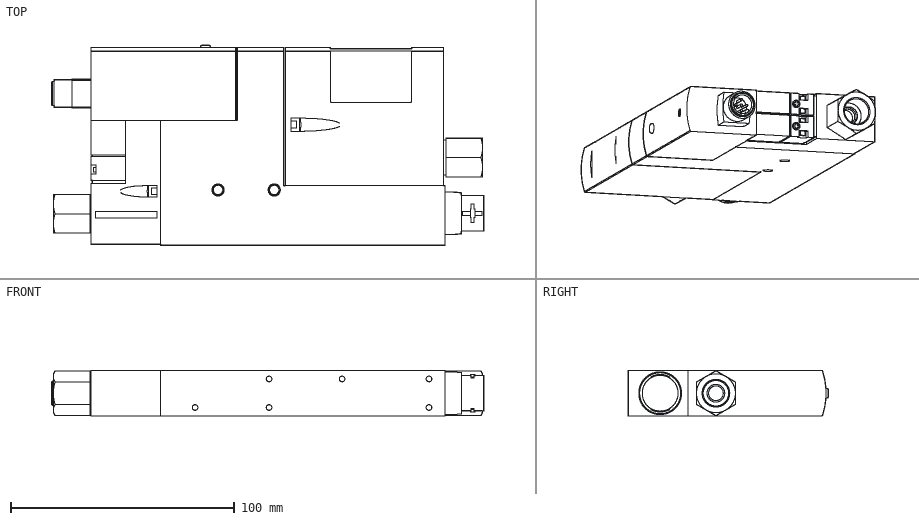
import cadquery as cq
import math


height = 20.5
top = height / 2
base_length = 158.5
crown_y = 88.7
shoulder_y = 87.1
edge_chamfer = 0.4
joint_gap = 0.5

port_length = 31.2
port_inset = 0.4
control_y = 56.0
valve_length = 15.5
valve_y_min = 29.0
valve_step_y = 40.0
valve_groove = 0.5
valve_setback = 0.4
valve_trench = 1.4
lever_y = 33.9
lever_notch = (2.3, 4.0, 3.0)
lever_size = (1.2, 2.1, 2.0)
valve_screw_y = 37.2
valve_screw_d = 3.3
valve_screw_depth = 0.5
valve_cross = (1.0, 2.5)
label_groove_d = 3.0
label_groove_y = 13.7
label_groove_x = (2.0, 29.6)

control_length = 64.9
led_x = 10.8
led_d = 3.3
led_depth = 0.5
button_x = 51.3
button_d = 4.5
button_round = 0.8
button_tip_y = 89.6

filter_x = (87.0, 158.0)
filter_y = 26.7
window_x = (107.3, 143.7)
window_y = 63.9
window_top_depth = 0.2
window_side_depth = 0.5
window_corner = 0.8

mount_holes_x = (57.0, 82.0)
mount_hole_y = 24.8
mount_hole_d = 4.3
mount_hole_chamfer = 0.5
side_hole_z = 6.4
side_hole_d = 2.5
side_hole_depth = 3.0
upper_side_holes = (79.8, 112.5, 151.4)
lower_side_holes = (46.7, 79.8, 151.4)

hex_flats = 17.5
hex_face_d = 17.5
hex_chamfer = 30
nut_length = 16.5
port_neck_length = 0.4
filter_neck_length = 1.0
neck_d = 15.9
bore_mouth_d = 12.4
bore_d = 11.5
bore_depth = 11.6
bore_chamfer = (bore_mouth_d - bore_d) / 2
seat_d = 8.0
seat_depth = 2.0
duct_d = 6.5
duct_depth = 3.9
port_fitting_y = 14.1
filter_fitting_y = 39.3

plug_y = 68.0
plug_root = (8.5, 11.8, 13.5)
plug_root_bulge = 0.5
plug_barrel_d = 12.4
plug_barrel_end = 16.5
plug_tip_end = 17.6
plug_tip_d = 10.8
plug_tip_chamfer = 0.4
plug_socket_d = 8.5
plug_socket_depth = 7.7
plug_pin_d = 1.0
plug_pin_pitch = 2.5
plug_pin_length = 5.8
plug_key_d = 2.0
plug_key_offset = 2.7

silencer_y = 14.3
collar_end = 166.0
collar_base_d = 19.2
collar_end_d = 18.4
collar_bulge = 0.2
barrel_end = 176.0
barrel_d = 16.0
lug_height = 0.4
lug_x = 171.0
lug_size = (1.4, 8.3)
lug_centre = (2.1, 3.9)
flute_width = 1.7
flute_depth = 0.2
flute_x = (166.5, 175.2)

filter_pocket = (111.9, 89.6, 54.0, 6.0)
port_pocket = (13.0, 29.6, 24.2, 5.2)
screw_well_length = 3.9
screw_well_depth = 4.6
pocket_screw_d = 3.1
pocket_screw_length = 2.5
pocket_screw_drop = 2.3


def block(x, y, z=(-top, top)):
    """Box between the given limits."""
    size = (x[1] - x[0], y[1] - y[0], z[1] - z[0])
    return cq.Workplane("XY").box(*size, centered=False).translate((x[0], y[0], z[0]))


def rod(diameter, x, y, z=0.0):
    """Cylinder along X between two x positions."""
    wire = cq.Workplane("YZ", origin=(x[0], y, z)).circle(diameter / 2)
    return wire.extrude(x[1] - x[0])


def rounded_envelope():
    """Cross-section with a rounded +Y side, along the whole length."""
    profile = (
        cq.Workplane("YZ")
        .moveTo(0, -top)
        .lineTo(shoulder_y - edge_chamfer, -top)
        .lineTo(shoulder_y, edge_chamfer - top)
        .threePointArc((crown_y, 0), (shoulder_y, top - edge_chamfer))
        .lineTo(shoulder_y - edge_chamfer, top)
        .lineTo(0, top)
        .close()
    )
    return profile.extrude(base_length)


def turned_blank(diameter, length):
    """Cylinder along X whose far end is chamfered down to the hexagon face diameter."""
    chamfer_width = (diameter - hex_face_d) / 2
    chamfer_length = chamfer_width * math.tan(math.radians(hex_chamfer))
    profile = (
        cq.Workplane("XY")
        .lineTo(0, diameter / 2)
        .lineTo(length - chamfer_length, diameter / 2)
        .lineTo(length, hex_face_d / 2)
        .lineTo(length, 0)
        .close()
    )
    return profile.revolve(360, (0, 0, 0), (1, 0, 0))


def fitting(face_x, y, direction, neck_length):
    """Hexagonal fitting that stands out from face_x in the +X or -X direction."""
    across_corners = hex_flats / math.cos(math.pi / 6)
    fitting_length = neck_length + nut_length
    nut = (
        cq.Workplane("YZ")
        .polygon(6, across_corners)
        .extrude(nut_length)
        .rotate((0, 0, 0), (1, 0, 0), 90)
        .intersect(turned_blank(across_corners, nut_length))
        .translate((neck_length, 0, 0))
    )
    body = nut.union(rod(neck_d, (0, neck_length), 0))
    mouth = (
        cq.Workplane("YZ", origin=(fitting_length, 0, 0))
        .circle(bore_mouth_d / 2)
        .workplane(offset=-bore_chamfer)
        .circle(bore_d / 2)
        .loft()
    )
    bore_floor = fitting_length - bore_depth
    seat_floor = bore_floor - seat_depth
    body = (
        body.cut(mouth)
        .cut(rod(bore_d, (bore_floor, fitting_length), 0))
        .cut(rod(seat_d, (seat_floor, bore_floor), 0))
        .cut(rod(duct_d, (seat_floor - duct_depth, seat_floor), 0))
    )
    if direction < 0:
        body = body.rotate((0, 0, 0), (0, 0, 1), 180)
    return body.translate((face_x, y, 0))


def add_screw_pocket(body, pocket):
    """Cut a sloping round trough in the top face, ending in a square well with a screw."""
    tip_x, end_x, y, diameter = pocket
    radius = diameter / 2
    direction = math.copysign(1, end_x - tip_x)
    well_start = end_x - direction * screw_well_length
    slope = math.asin(radius / abs(well_start - tip_x))
    axis = cq.Vector(direction * math.cos(slope), 0, -math.sin(slope))
    length = abs(well_start - tip_x) * math.cos(slope)
    start = cq.Vector(well_start, y, top) - axis * length
    trough = cq.Solid.makeCylinder(radius, length, start, axis)

    well_x = sorted((end_x, well_start))
    screw_x = sorted((end_x, end_x - direction * pocket_screw_length))
    well = block(well_x, (y - radius, y + radius), (top - screw_well_depth, top))
    screw = rod(pocket_screw_d, screw_x, y, top - pocket_screw_drop)
    return body.cut(cq.Workplane(trough)).cut(well).union(screw)


def make_base():
    """Central block with its mounting holes, side holes and silencer."""
    body = (
        rounded_envelope()
        .cut(block((0, port_length), (0, control_y)))
        .cut(block((0, control_length + joint_gap), (control_y, crown_y)))
        .cut(block((filter_x[0] - joint_gap, base_length), (filter_y, crown_y)))
    )
    mounts = [(x, mount_hole_y) for x in mount_holes_x]
    body = body.cut(
        cq.Workplane("XY", origin=(0, 0, -top)).pushPoints(mounts).circle(mount_hole_d / 2).extrude(height)
    )
    for x, y in mounts:
        countersink = cq.Solid.makeCone(
            mount_hole_d / 2,
            mount_hole_d / 2 + mount_hole_chamfer,
            mount_hole_chamfer,
            cq.Vector(x, y, top - mount_hole_chamfer),
        )
        body = body.cut(cq.Workplane(countersink))
    side_holes = [(x, side_hole_z) for x in upper_side_holes]
    side_holes += [(x, -side_hole_z) for x in lower_side_holes]
    body = body.cut(
        cq.Workplane("XZ").pushPoints(side_holes).circle(side_hole_d / 2).extrude(-side_hole_depth)
    )
    return body.union(make_silencer())


def make_silencer():
    """Bulged collar and barrel, with a cross-shaped lug above and below."""
    middle = ((base_length + collar_end) / 2, (collar_base_d + collar_end_d) / 4 + collar_bulge)
    collar = (
        cq.Workplane("XY")
        .moveTo(base_length, 0)
        .lineTo(base_length, collar_base_d / 2)
        .threePointArc(middle, (collar_end, collar_end_d / 2))
        .lineTo(collar_end, 0)
        .close()
        .revolve(360, (0, 0, 0), (1, 0, 0))
        .translate((0, silencer_y, 0))
    )
    barrel = rod(barrel_d, (collar_end, barrel_end), silencer_y)
    reach = barrel_d / 2 + lug_height
    flute_floor = barrel_d / 2 - flute_depth
    flute_y = (silencer_y - flute_width / 2, silencer_y + flute_width / 2)
    lugs = (
        cq.Workplane("XY", origin=(lug_x, silencer_y, 0))
        .rect(*lug_size)
        .extrude(reach, both=True)
        .union(cq.Workplane("XY", origin=(lug_x, silencer_y, 0)).rect(*lug_centre).extrude(reach, both=True))
        .intersect(rod(2 * reach, (collar_end, barrel_end), silencer_y))
    )
    for z in ((flute_floor, reach), (-reach, -flute_floor)):
        barrel = barrel.cut(block(flute_x, flute_y, z))
    return collar.union(barrel).union(lugs)


def shape_valves(body):
    """Shape the two stacked pilot valves on the -X end of the port block."""
    half = valve_groove / 2
    valve_top = top - valve_setback
    trench_y = (valve_y_min - valve_trench, valve_y_min)
    step_y = (valve_step_y - half, valve_step_y + half)
    body = body.cut(block((0, valve_groove), (valve_y_min, control_y), (-half, half)))
    body = body.cut(block((0, valve_groove), step_y))
    body = body.cut(block((0, valve_groove), trench_y))
    for side in (1, -1):
        skin = sorted((side * top, side * valve_top))
        body = body.cut(block((0, valve_length), (valve_y_min, control_y), skin))
        below_skin = sorted((side * top, side * (valve_top - valve_groove)))
        body = body.cut(block((0, valve_length), trench_y, below_skin))
        body = body.cut(block((0, valve_length), step_y, below_skin))

    valve_height = valve_top - half
    for z in (half + valve_height / 2, -half - valve_height / 2):
        for end in (1, -1):
            body = cut_lever_notch(body, z + end * valve_height / 2, end)
        body = add_valve_screw(body, z)
    return body


def cut_lever_notch(body, edge_z, end):
    """Notch in a valve edge that opens towards +Z or -Z and holds a small lever."""
    length, width, depth = lever_notch
    lever_length, lever_width, lever_height = lever_size
    floor_z = edge_z - end * depth
    notch_y = (lever_y - width / 2, lever_y + width / 2)
    side_y = (lever_y - lever_width / 2, lever_y + lever_width / 2)
    notch = block((0, length), notch_y, sorted((edge_z, floor_z)))
    lever = block((length - lever_length, length), side_y, sorted((floor_z, floor_z + end * lever_height)))
    return body.cut(notch).union(lever)


def add_valve_screw(body, z):
    """Round recess with a raised cross in the -X face of a valve."""
    bar, span = valve_cross
    body = body.cut(rod(valve_screw_d, (0, valve_screw_depth), valve_screw_y, z))
    for wide, tall in ((bar, span), (span, bar)):
        cross_y = (valve_screw_y - wide / 2, valve_screw_y + wide / 2)
        body = body.union(block((0, valve_screw_depth), cross_y, (z - tall / 2, z + tall / 2)))
    return body


def make_port_block():
    """Port block with fitting, pilot valves, screw pocket and label groove."""
    body = block((0, port_length), (port_inset, control_y))
    body = shape_valves(body)
    body = add_screw_pocket(body, port_pocket)
    body = body.cut(rod(label_groove_d, label_groove_x, label_groove_y, top))
    return body.union(fitting(0, port_fitting_y, -1, port_neck_length))


def make_plug():
    """Round plug on a flat-topped root, with contact pins and a key in its socket."""
    length, width, tall = plug_root
    side_y = width / 2
    root = (
        cq.Workplane("YZ", origin=(-length, plug_y, 0))
        .moveTo(-side_y, -tall / 2)
        .lineTo(side_y, -tall / 2)
        .threePointArc((side_y + plug_root_bulge, 0), (side_y, tall / 2))
        .lineTo(-side_y, tall / 2)
        .threePointArc((-side_y - plug_root_bulge, 0), (-side_y, -tall / 2))
        .close()
        .extrude(length)
    )
    barrel = rod(plug_barrel_d, (-plug_barrel_end, -length), plug_y)
    tip = rod(plug_tip_d, (-plug_tip_end, -plug_barrel_end), plug_y).faces("<X").chamfer(plug_tip_chamfer)
    body = root.union(barrel).union(tip)
    floor_x = plug_socket_depth - plug_tip_end
    body = body.cut(rod(plug_socket_d, (-plug_tip_end, floor_x), plug_y))
    pin_x = (floor_x - plug_pin_length, floor_x)
    for row, column in ((0, 0), (1, 0), (-1, 0), (0, 1), (0, -1)):
        pin_y = plug_y + row * plug_pin_pitch
        pin_z = column * plug_pin_pitch
        body = body.union(rod(plug_pin_d, pin_x, pin_y, pin_z))
    return body.union(rod(plug_key_d, pin_x, plug_y - plug_key_offset, -plug_key_offset))


def make_control_module():
    """Control module with plug connector, indicator recess and push button."""
    body = rounded_envelope().intersect(block((0, control_length), (control_y, crown_y)))
    recess = cq.Workplane("XZ", origin=(led_x, crown_y, 0)).circle(led_d / 2).extrude(led_depth)
    button_length = button_tip_y - shoulder_y
    button = cq.Workplane("XZ", origin=(button_x, button_tip_y, 0)).circle(button_d / 2).extrude(button_length)
    button = button.faces(">Y").fillet(button_round)
    return body.cut(recess).union(button).union(make_plug())


def make_filter_module():
    """Filter module with viewing window recess, screw pocket and fitting."""
    body = rounded_envelope().intersect(block(filter_x, (filter_y, crown_y)))
    window_top = block(window_x, (window_y, crown_y), (top - window_top_depth, top))
    window_top = window_top.edges("|Z and <Y").fillet(window_corner)
    window_side = block(window_x, (crown_y - window_side_depth, crown_y))
    body = body.cut(window_top).cut(window_side)
    body = add_screw_pocket(body, filter_pocket)
    return body.union(fitting(filter_x[1], filter_fitting_y, 1, filter_neck_length))


base = make_base()
port_block = make_port_block()
control_module = make_control_module()
filter_module = make_filter_module()

result = cq.Compound.makeCompound(
    [base.val(), port_block.val(), control_module.val(), filter_module.val()]
)